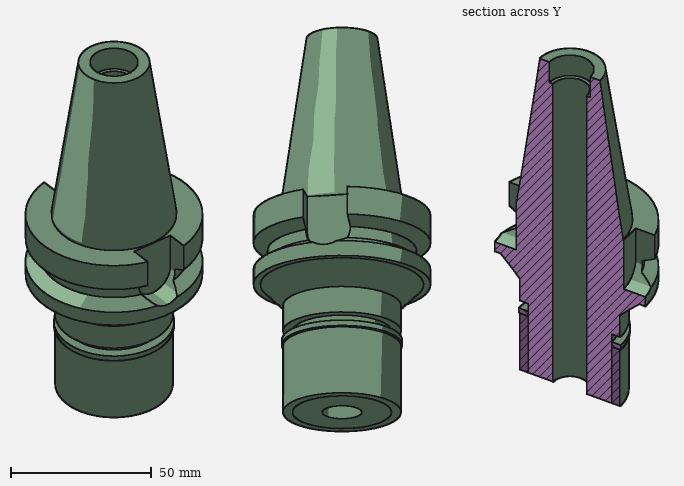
import cadquery as cq

total_height = 140.4
taper_length = 65.4
gauge_height = total_height - taper_length
flange_top = 74.0
flange_bottom = 48.0
groove_center = 58.6
groove_floor_width = 4.2
groove_floor_bottom = groove_center - groove_floor_width / 2
groove_floor_top = groove_center + groove_floor_width / 2
groove_chamfer_height = 2.9
shoulder_top = 40.0
shoulder_bottom = 30.4
ring_top = 27.2
ring_bottom = 24.8

gauge_radius = 44.45 / 2
taper_rate = 7 / 24
taper_end_radius = gauge_radius - taper_length * taper_rate / 2
flange_radius = 63.0 / 2
groove_floor_radius = 53.0 / 2
shoulder_radius = 21.0
shoulder_cone_radius = shoulder_radius + flange_bottom - shoulder_top
nose_radius = 17.6
ring_radius = 21.4
nut_radius = 21.0

bore_radius = 7.0
counterbore_radius = 8.5
counterbore_depth = 9.0

slot_width = 16.1
slot_floor_height = 52.4
slot_face_distance = 22.5


def make_holder_blank():
    """Turned outline of the holder, from the nose end up to the small end of the taper."""
    profile = [
        (0, 0),
        (nose_radius, 0),
        (nose_radius, shoulder_bottom),
        (shoulder_radius, shoulder_bottom),
        (shoulder_radius, shoulder_top),
        (shoulder_cone_radius, flange_bottom),
        (flange_radius, flange_bottom),
        (flange_radius, groove_floor_bottom - groove_chamfer_height),
        (groove_floor_radius, groove_floor_bottom),
        (groove_floor_radius, groove_floor_top),
        (flange_radius, groove_floor_top + groove_chamfer_height),
        (flange_radius, flange_top),
        (gauge_radius, flange_top),
        (gauge_radius, gauge_height),
        (taper_end_radius, total_height),
        (0, total_height),
    ]
    return cq.Workplane("YZ").polyline(profile).close().revolve(360, (0, 0), (0, 1))


def make_drive_slot(side):
    """Round-ended slot cutter, open at the flange top; side is +1 or -1 along X."""
    arc_center_height = slot_floor_height + slot_width / 2
    return (
        cq.Workplane("YZ", origin=(side * slot_face_distance, 0, 0))
        .moveTo(-slot_width / 2, flange_top)
        .lineTo(-slot_width / 2, arc_center_height)
        .threePointArc((0, slot_floor_height), (slot_width / 2, arc_center_height))
        .lineTo(slot_width / 2, flange_top)
        .close()
        .extrude(side * flange_radius)
    )


def make_holder():
    """Tapered holder with its drive slots and stepped axial hole."""
    body = make_holder_blank()
    for side in (-1, 1):
        body = body.cut(make_drive_slot(side))
    bore = cq.Workplane("XY").circle(bore_radius).extrude(total_height)
    counterbore = (
        cq.Workplane("XY", origin=(0, 0, total_height - counterbore_depth))
        .circle(counterbore_radius)
        .extrude(counterbore_depth)
    )
    return body.cut(bore).cut(counterbore)


def make_retaining_ring():
    """Ring above the nut; its lower outer edge is chamfered down to the nut diameter."""
    return (
        cq.Workplane("XY", origin=(0, 0, ring_bottom))
        .circle(ring_radius)
        .extrude(ring_top - ring_bottom)
        .faces("<Z")
        .chamfer(ring_radius - nut_radius)
        .faces(">Z")
        .workplane()
        .hole(2 * nose_radius)
    )


def make_clamping_nut():
    """Plain cylindrical nut around the nose of the holder."""
    return cq.Workplane("XY").circle(nut_radius).circle(nose_radius).extrude(ring_bottom)


holder = make_holder()
retaining_ring = make_retaining_ring()
clamping_nut = make_clamping_nut()

result = cq.Compound.makeCompound([holder.val(), retaining_ring.val(), clamping_nut.val()])